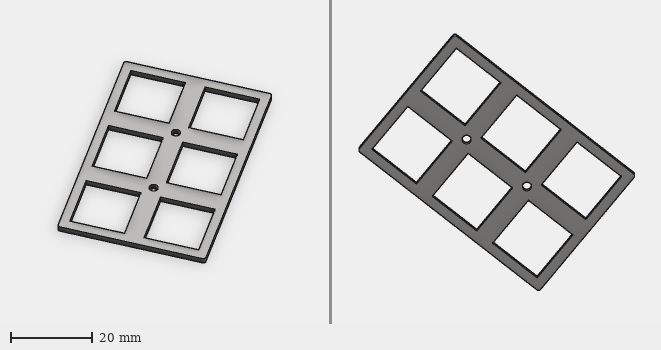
import cadquery as cq

width = 37.9
length = 57.15
thickness = 1.6
corner_radius = 0.7

columns = 2
rows = 3
pitch = 19.05
window_side = 14.0

hole_diameter = 2.2


def make_plate():
    """Flat plate with rounded vertical corners, resting on Z = 0."""
    plate = cq.Workplane("XY").box(width, length, thickness, centered=(True, True, False))
    return plate.edges("|Z").fillet(corner_radius)


def cut_windows(plate):
    """Cut the grid of square windows through the plate."""
    grid = plate.faces(">Z").workplane().rarray(pitch, pitch, columns, rows)
    return grid.rect(window_side, window_side).cutThruAll()


def cut_holes(plate):
    """Drill the centre-line holes where the bars between windows cross."""
    crossings = plate.faces(">Z").workplane(origin=(0, 0, 0)).rarray(pitch, pitch, columns - 1, rows - 1)
    return crossings.hole(hole_diameter)


result = cut_holes(cut_windows(make_plate()))